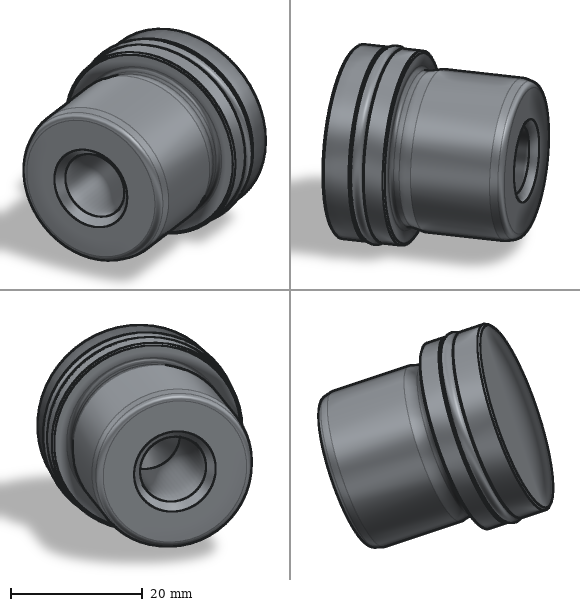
import cadquery as cq
import math

total_length = 27.9

outer_radius = 15.22
flange_radius = 14.9
flange_length = 9.93
back_chamfer = 0.35
front_chamfer_length = 0.25
front_chamfer_depth = 0.35
ring_center = 5.48
ring_section_radius = 1.0
groove_chamfer = 0.2

neck_radius = 12.0
neck_fillet = 0.6
neck_end = 11.42
body_start = 13.37

body_radius = 12.48
nose_start = 25.95
nose_angle = math.radians(15)
nose_fillet = 1.0

hole_radius = 5.15
hole_depth = 18.27
countersink_radius = 6.35
countersink_depth = 1.22
drill_point_angle = math.radians(118)


def make_body():
    """Revolved outer form, drawn as (radius, -distance from the back face)."""
    ring_center_radius = outer_radius - ring_section_radius
    groove_back = ring_center - ring_section_radius
    groove_front = ring_center + ring_section_radius
    groove_edge_radius = flange_radius - groove_chamfer

    taper_end = total_length - nose_fillet * (1 - math.sin(nose_angle))
    taper_end_radius = body_radius - (taper_end - nose_start) * math.tan(nose_angle)
    arc_center_radius = taper_end_radius - nose_fillet * math.cos(nose_angle)
    arc_center = total_length - nose_fillet
    arc_middle_angle = (nose_angle + math.pi / 2) / 2
    arc_middle_radius = arc_center_radius + nose_fillet * math.cos(arc_middle_angle)
    arc_middle = arc_center + nose_fillet * math.sin(arc_middle_angle)

    fillet_offset = neck_fillet * (1 - math.sqrt(0.5))
    profile = (
        cq.Workplane("XY")
        .lineTo(flange_radius - back_chamfer, 0)
        .lineTo(flange_radius, -back_chamfer)
        .lineTo(flange_radius, -(groove_back - groove_chamfer))
        .lineTo(groove_edge_radius, -groove_back)
        .lineTo(ring_center_radius, -groove_back)
        .threePointArc((outer_radius, -ring_center), (ring_center_radius, -groove_front))
        .lineTo(groove_edge_radius, -groove_front)
        .lineTo(flange_radius, -(groove_front + groove_chamfer))
        .lineTo(flange_radius, -(flange_length - front_chamfer_length))
        .lineTo(flange_radius - front_chamfer_depth, -flange_length)
        .lineTo(neck_radius + neck_fillet, -flange_length)
        .threePointArc(
            (neck_radius + fillet_offset, -(flange_length + fillet_offset)),
            (neck_radius, -(flange_length + neck_fillet)),
        )
        .lineTo(neck_radius, -neck_end)
        .lineTo(body_radius, -body_start)
        .lineTo(body_radius, -nose_start)
        .lineTo(taper_end_radius, -taper_end)
        .threePointArc((arc_middle_radius, -arc_middle), (arc_center_radius, -total_length))
        .lineTo(0, -total_length)
        .close()
    )
    return profile.revolve(360, (0, 0), (0, 1))


def make_hole():
    """Revolved cutter for the blind hole in the front face."""
    hole_bottom = total_length - hole_depth
    point_length = hole_radius / math.tan(drill_point_angle / 2)
    profile = (
        cq.Workplane("XY")
        .moveTo(0, -total_length)
        .lineTo(countersink_radius, -total_length)
        .lineTo(hole_radius, -(total_length - countersink_depth))
        .lineTo(hole_radius, -hole_bottom)
        .lineTo(0, -(hole_bottom - point_length))
        .close()
    )
    return profile.revolve(360, (0, 0), (0, 1))


result = make_body().cut(make_hole())